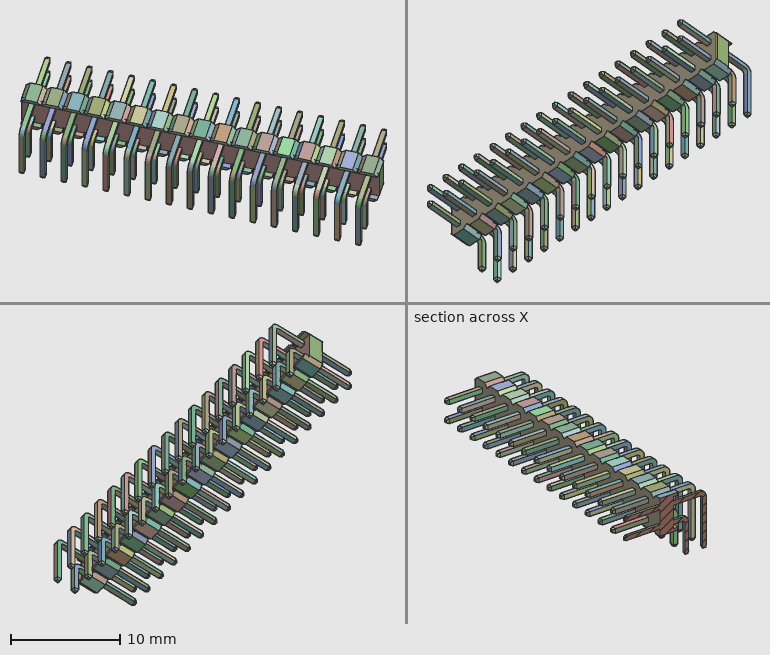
import cadquery as cq


columns = 17
pitch = 2.0
row_heights = (-pitch / 2, pitch / 2)

body_length = columns * pitch
body_height = 2 * pitch
body_depth = 1.57
cell_chamfer = 0.4
corner_bevel = 0.09
lip_overhang = 0.5
lip_thickness = 0.36

pin_width = 0.5
bend_outer_radius = 0.75
bend_inner_radius = bend_outer_radius - pin_width
tip_length = 0.25
tip_taper = 0.1
mating_length = 3.98
tail_offset = 1.5
overall_height = 6.8
tail_end_z = body_height / 2 - overall_height

mating_end_y = body_depth + mating_length
column_positions = [(i - (columns - 1) / 2) * pitch for i in range(columns)]


def make_cell():
    """One pitch of the insulator: a corner-chamfered block recessed at the rear between two thin lips."""
    depth = body_depth + lip_overhang
    block = cq.Workplane("XY").box(pitch, depth, body_height).translate((0, body_depth - depth / 2, 0))
    block = block.edges("|Y").chamfer(cell_chamfer)
    recess_height = body_height - 2 * lip_thickness
    recess = cq.Workplane("XY").box(pitch, lip_overhang, recess_height).translate((0, -lip_overhang / 2, 0))
    return block.cut(recess)


def make_body():
    """Row of cells with the front vertical corners at both ends bevelled between the cell chamfers."""
    cell = make_cell().val()
    cells = [cell.translate(cq.Vector(x, 0, 0)) for x in column_positions]
    body = cq.Workplane(obj=cells[0].fuse(*cells[1:]).clean())
    for side in (-1, 1):
        corner_x = side * body_length / 2
        bevel = (
            cq.Workplane("XY", origin=(corner_x, body_depth, 0))
            .polyline([(0, 0), (-side * corner_bevel, 0), (0, -corner_bevel)])
            .close()
            .extrude(body_height / 2 - cell_chamfer, both=True)
        )
        body = body.cut(bevel)
    return body


def make_pin(row_z):
    """Square pin lying along Y at height row_z, bent down behind the body, with both ends tapered."""
    half = pin_width / 2
    tail_y = -tail_offset - (row_z - row_heights[0])
    mating_shoulder_y = mating_end_y - tip_length
    tail_shoulder_z = tail_end_z + tip_length
    inner_bend_y = tail_y + half + bend_inner_radius
    inner_bend_z = row_z - half - bend_inner_radius
    bar = (
        cq.Workplane("YZ")
        .moveTo(mating_shoulder_y, row_z + half)
        .lineTo(inner_bend_y, row_z + half)
        .radiusArc((tail_y - half, inner_bend_z), -bend_outer_radius)
        .lineTo(tail_y - half, tail_shoulder_z)
        .lineTo(tail_y + half, tail_shoulder_z)
        .lineTo(tail_y + half, inner_bend_z)
        .radiusArc((inner_bend_y, row_z - half), bend_inner_radius)
        .lineTo(mating_shoulder_y, row_z - half)
        .close()
        .extrude(half, both=True)
    )
    return bar.union(make_tip(bar.faces(">Y"))).union(make_tip(bar.faces("<Z")))


def make_tip(end_face):
    """Pyramid frustum standing on the square end face of a pin."""
    tip_width = pin_width - 2 * tip_taper
    return (
        end_face.workplane(centerOption="CenterOfBoundBox")
        .rect(pin_width, pin_width)
        .workplane(offset=tip_length)
        .rect(tip_width, tip_width)
        .loft(combine=False)
    )


pins = [make_pin(row_z).val() for row_z in row_heights]
placed_pins = [pin.translate(cq.Vector(x, 0, 0)) for x in column_positions for pin in pins]
result = cq.Workplane(obj=make_body().val().fuse(*placed_pins).clean())